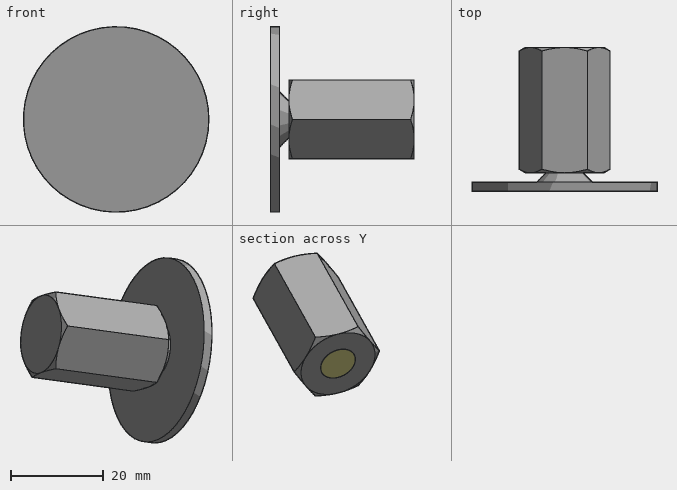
import cadquery as cq
import math

disc_diameter = 40.0
disc_thickness = 2.0
neck_base_diameter = 12.0
neck_height = 2.0
neck_top_diameter = neck_base_diameter - 2 * neck_height
hex_sides = 6
hex_across_flats = 17.0
hex_length = 27.0
hex_chamfer_angle = 30.0

hex_across_corners = hex_across_flats / math.cos(math.pi / hex_sides)
corner_overhang = (hex_across_corners - hex_across_flats) / 2
corner_drop = corner_overhang * math.tan(math.radians(hex_chamfer_angle))
hex_start = disc_thickness + neck_height
hex_end = hex_start + hex_length


def revolve_about_y(points):
    """Revolve a closed (radius, y) outline around the Y axis."""
    return cq.Workplane("XY").polyline(points).close().revolve(360, (0, 0, 0), (0, 1, 0))


def make_foot():
    """Flat round disc with a conical neck that narrows toward the hex nut."""
    return revolve_about_y([
        (0, 0),
        (disc_diameter / 2, 0),
        (disc_diameter / 2, disc_thickness),
        (neck_base_diameter / 2, disc_thickness),
        (neck_top_diameter / 2, hex_start),
        (0, hex_start),
    ])


def make_hex_nut():
    """Long hexagonal nut, corners along X, with both ends chamfered by a cone."""
    prism = (
        cq.Workplane("XZ", origin=(0, hex_start, 0))
        .polygon(hex_sides, hex_across_corners)
        .extrude(-hex_length)
    )
    flat_radius = hex_across_flats / 2
    corner_radius = hex_across_corners / 2
    chamfer_envelope = revolve_about_y([
        (0, hex_start),
        (flat_radius, hex_start),
        (corner_radius, hex_start + corner_drop),
        (corner_radius, hex_end - corner_drop),
        (flat_radius, hex_end),
        (0, hex_end),
    ])
    return prism.intersect(chamfer_envelope)


foot = make_foot()
hex_nut = make_hex_nut()

result = cq.Compound.makeCompound([foot.val(), hex_nut.val()])